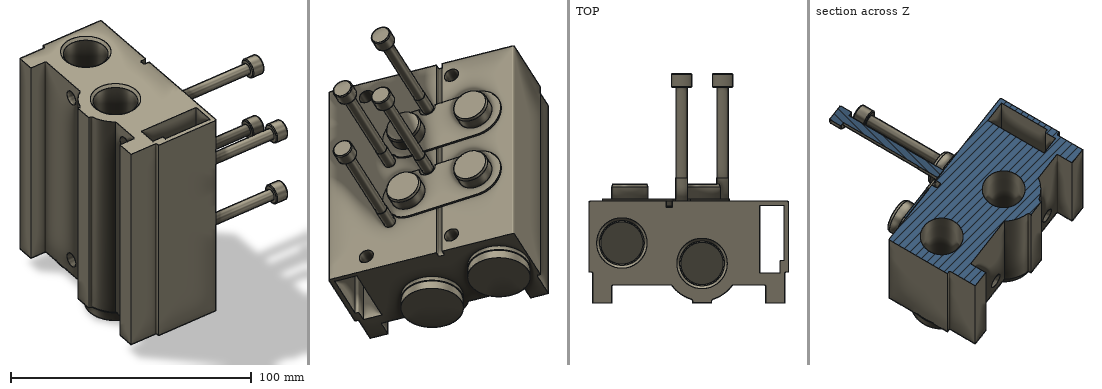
import cadquery as cq
import math


LENGTH = 100.0
HALF_WIDTH = 41.5
PORT_FACE_Y = 42.4
STEP_INSET = 1.6
STEP_Y = 12.9
FOOT_WIDTH = 8.0
CHANNEL_Y = 7.5
CORNER_RADIUS = 0.7
INNER_RADIUS = 0.5

MAIN_X = 5.5
MAIN_Y = 16.5
BULGE_RADIUS = 15.5
NOSE_HALF_WIDTH = 3.9
NOSE_Y = 0.1
NOSE_FILLET = 1.0

SIDE_BORE_X = -27.8
SIDE_BORE_Y = 25.0
BORE_CENTERS = [(SIDE_BORE_X, SIDE_BORE_Y), (MAIN_X, MAIN_Y)]

BORE_DIAMETER = 17.5
BORE_MOUTH_DIAMETER = 18.6
BORE_MOUTH_DEPTH = 21.3
BORE_RIM_DIAMETER = 21.0

WALL = 2.0
DUCT_LEFT = 29.6
DUCT_RIGHT = HALF_WIDTH - WALL
DUCT_STEP_X = DUCT_RIGHT - STEP_INSET
DUCT_BOTTOM = 12.5
DUCT_STEP_Y = 17.8
DUCT_TOP = 40.5

MOUNT_DIAMETER = 6.3
MOUNT_SPACING_X = 38.1
MOUNT_END_MARGIN = 7.4
MOUNT_SPACING_Z = LENGTH - 2 * MOUNT_END_MARGIN

GROOVE_X = -8.1
GROOVE_WIDTH = 2.5
GROOVE_DEPTH = 2.7
GROOVE_FILLET = 0.4

CAP_DIAMETER = 26.0
CAP_HEIGHT = 6.4
CAP_GROOVE_TOP = 2.0
CAP_GROOVE_WIDTH = 0.3
CAP_GROOVE_DEPTH = 0.1

PLATE_PITCH = 31.9
PLATE_CENTERS_Z = [LENGTH / 2 + PLATE_PITCH / 2, LENGTH / 2 - PLATE_PITCH / 2]
PLATE_THICKNESS = 0.9
PLATE_RADIUS = 11.4
SECOND_PORT_DX = -30.0
SECOND_PORT_DZ = 2.3
BOSS_DIAMETER = 15.1
BOSS_TOP_Y = 49.5
BOSS_HEIGHT = BOSS_TOP_Y - PORT_FACE_Y - PLATE_THICKNESS
BOSS_RIM_HEIGHT = 1.2
BOSS_RIM_INSET = 0.4
NOTCH_RADIUS = 3.6
PIN_DIAMETER = 2.3
PIN_LENGTH = 2.5
PIN_CHAMFER = 0.4

SCREW_OFFSETS = [(-8.5, 11.7), (8.5, -11.7)]
SHANK_DIAMETER = 4.8
THREAD_DIAMETER = 5.0
THREAD_LENGTH = 9.6
HEAD_DIAMETER = 8.5
HEAD_HEIGHT = 5.8
HEAD_CHAMFER = 0.4
SCREW_LENGTH = 53.0
SHANK_LENGTH = SCREW_LENGTH - HEAD_HEIGHT - THREAD_LENGTH


def cylinder_y(diameter, y, length, x=0.0, z=0.0):
    """Cylinder along +Y that starts at height y."""
    solid = cq.Solid.makeCylinder(diameter / 2, length, cq.Vector(x, y, z), cq.Vector(0, 1, 0))
    return cq.Workplane(obj=solid)


def prism(points):
    """Closed XY outline extruded over the housing length."""
    return cq.Workplane("XY").polyline(points).close().extrude(LENGTH)


def edges_at(x, y):
    """Selector for the lengthwise edge at (x, y)."""
    tolerance = 0.01
    low = (x - tolerance, y - tolerance, -1.1)
    high = (x + tolerance, y + tolerance, LENGTH + 1.1)
    return cq.selectors.BoxSelector(low, high)


def housing_blank():
    foot_outer = HALF_WIDTH - STEP_INSET
    foot_inner = foot_outer - FOOT_WIDTH
    right_half = [
        (foot_inner, CHANNEL_Y),
        (foot_inner, 0),
        (foot_outer, 0),
        (foot_outer, STEP_Y),
        (HALF_WIDTH, STEP_Y),
        (HALF_WIDTH, PORT_FACE_Y),
    ]
    left_half = [(-x, y) for x, y in reversed(right_half)]
    blank = prism(right_half + left_half)
    for side in (-1, 1):
        blank = blank.edges(edges_at(side * HALF_WIDTH, PORT_FACE_Y)).fillet(CORNER_RADIUS)
        blank = blank.edges(edges_at(side * foot_outer, STEP_Y)).fillet(INNER_RADIUS)
        blank = blank.edges(edges_at(side * foot_inner, CHANNEL_Y)).fillet(INNER_RADIUS)
    return blank


def bore_bulge():
    """Round bulge with a flat nose, below the channel floor."""
    nose_join_y = MAIN_Y - math.sqrt(BULGE_RADIUS**2 - NOSE_HALF_WIDTH**2)
    bulge = cq.Workplane("XY").center(MAIN_X, MAIN_Y).circle(BULGE_RADIUS).extrude(LENGTH)
    nose_height = MAIN_Y - NOSE_Y
    nose = (
        cq.Workplane("XY")
        .center(MAIN_X, NOSE_Y + nose_height / 2)
        .rect(2 * NOSE_HALF_WIDTH, nose_height)
        .extrude(LENGTH)
    )
    bulge = bulge.union(nose)
    for side in (-1, 1):
        bulge = bulge.edges(edges_at(MAIN_X + side * NOSE_HALF_WIDTH, nose_join_y)).fillet(NOSE_FILLET)
    return bulge


def duct():
    cutter = prism([
        (DUCT_LEFT, DUCT_BOTTOM),
        (DUCT_STEP_X, DUCT_BOTTOM),
        (DUCT_STEP_X, DUCT_STEP_Y),
        (DUCT_RIGHT, DUCT_STEP_Y),
        (DUCT_RIGHT, DUCT_TOP),
        (DUCT_LEFT, DUCT_TOP),
    ])
    return cutter.edges(edges_at(DUCT_STEP_X, DUCT_STEP_Y)).fillet(INNER_RADIUS)


def bore(x, y):
    """Stepped bore with a 45 degree countersink at the top face."""
    through = cq.Workplane("XY").center(x, y).circle(BORE_DIAMETER / 2).extrude(LENGTH)
    mouth = (
        cq.Workplane("XY", origin=(x, y, LENGTH))
        .circle(BORE_MOUTH_DIAMETER / 2)
        .extrude(-BORE_MOUTH_DEPTH)
    )
    rim_depth = (BORE_RIM_DIAMETER - BORE_MOUTH_DIAMETER) / 2
    countersink = cq.Workplane(obj=cq.Solid.makeCone(
        BORE_MOUTH_DIAMETER / 2,
        BORE_RIM_DIAMETER / 2,
        rim_depth,
        cq.Vector(x, y, LENGTH - rim_depth),
    ))
    return through.union(mouth).union(countersink)


def locating_groove():
    bottom_y = PORT_FACE_Y - GROOVE_DEPTH
    return (
        cq.Workplane("XY")
        .center(GROOVE_X, bottom_y + GROOVE_DEPTH / 2)
        .rect(GROOVE_WIDTH, GROOVE_DEPTH)
        .extrude(LENGTH)
        .edges("|Z and <Y")
        .fillet(GROOVE_FILLET)
    )


def make_housing():
    body = housing_blank().union(bore_bulge())
    body = body.cut(duct()).cut(locating_groove())
    for x, y in BORE_CENTERS:
        body = body.cut(bore(x, y))
    for side_x in (-1, 1):
        for side_z in (-1, 1):
            x = MAIN_X + side_x * MOUNT_SPACING_X / 2
            z = LENGTH / 2 + side_z * MOUNT_SPACING_Z / 2
            body = body.cut(cylinder_y(MOUNT_DIAMETER, 0, PORT_FACE_Y, x, z))
    return body


def make_cap(x, y):
    """Disc under one bore, with a fine groove around its rim."""
    cap = cq.Workplane("XY").center(x, y).circle(CAP_DIAMETER / 2).extrude(-CAP_HEIGHT)
    groove = (
        cq.Workplane("XY", origin=(x, y, -CAP_GROOVE_TOP))
        .circle(CAP_DIAMETER / 2)
        .circle(CAP_DIAMETER / 2 - CAP_GROOVE_DEPTH)
        .extrude(-CAP_GROOVE_WIDTH)
    )
    return cap.cut(groove)


def plate_web(thickness):
    """Strip between the outer tangents of the two plate discs."""
    port_distance = math.hypot(SECOND_PORT_DX, SECOND_PORT_DZ)
    normal_x = -SECOND_PORT_DZ / port_distance * PLATE_RADIUS
    normal_z = SECOND_PORT_DX / port_distance * PLATE_RADIUS
    corners = [
        (normal_x, normal_z),
        (SECOND_PORT_DX + normal_x, SECOND_PORT_DZ + normal_z),
        (SECOND_PORT_DX - normal_x, SECOND_PORT_DZ - normal_z),
        (-normal_x, -normal_z),
    ]
    return cq.Workplane("XZ").polyline(corners).close().extrude(-thickness)


def port_boss(x, z):
    boss = cylinder_y(BOSS_DIAMETER, PLATE_THICKNESS, BOSS_HEIGHT, x, z)
    return boss.faces(">Y").chamfer(BOSS_RIM_HEIGHT, BOSS_RIM_INSET)


def locating_pin():
    dx = GROOVE_X - MAIN_X
    dz = SECOND_PORT_DZ * dx / SECOND_PORT_DX
    pin = cylinder_y(PIN_DIAMETER, -PIN_LENGTH, PIN_LENGTH, dx, dz)
    return pin.faces("<Y").chamfer(PIN_CHAMFER)


def make_port_plate(center_z):
    plate = plate_web(PLATE_THICKNESS)
    ports = [(0, 0), (SECOND_PORT_DX, SECOND_PORT_DZ)]
    for x, z in ports:
        plate = plate.union(cylinder_y(2 * PLATE_RADIUS, 0, PLATE_THICKNESS, x, z))
    for x, z in SCREW_OFFSETS:
        plate = plate.cut(cylinder_y(2 * NOTCH_RADIUS, 0, PLATE_THICKNESS, x, z))
    for x, z in ports:
        plate = plate.union(port_boss(x, z))
    plate = plate.union(locating_pin())
    return plate.translate((MAIN_X, PORT_FACE_Y, center_z))


def make_screw(x, z):
    """Cap screw standing on the port face, head outward."""
    thread = cylinder_y(THREAD_DIAMETER, 0, THREAD_LENGTH)
    shank = cylinder_y(SHANK_DIAMETER, THREAD_LENGTH, SHANK_LENGTH)
    head = cylinder_y(HEAD_DIAMETER, THREAD_LENGTH + SHANK_LENGTH, HEAD_HEIGHT)
    head = head.faces("<Y or >Y").chamfer(HEAD_CHAMFER)
    return thread.union(shank).union(head).translate((x, PORT_FACE_Y, z))


housing = make_housing()
caps = [make_cap(x, y) for x, y in BORE_CENTERS]
port_plates = [make_port_plate(z) for z in PLATE_CENTERS_Z]
screws = [
    make_screw(MAIN_X + dx, z + dz)
    for z in PLATE_CENTERS_Z
    for dx, dz in SCREW_OFFSETS
]

result = cq.Compound.makeCompound(
    [body.val() for body in [housing, *caps, *port_plates, *screws]]
)